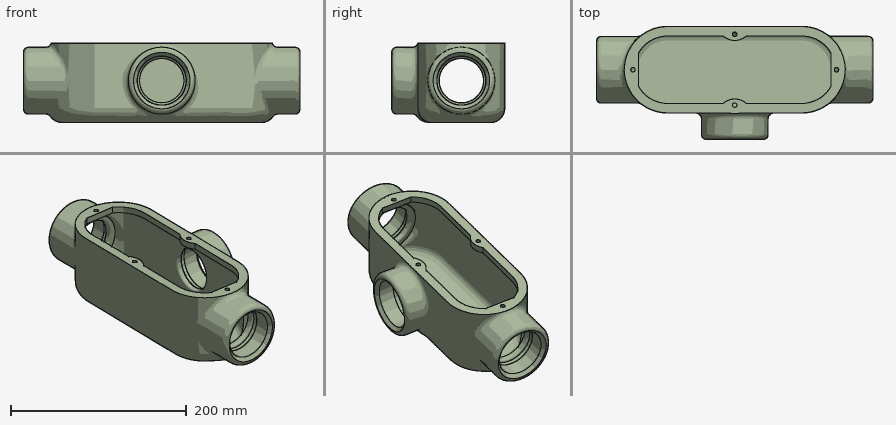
import cadquery as cq
import math

overall_length = 314.5
overall_width = 128.5
overall_height = 90.5

body_width = 98.7
body_radius = body_width / 2
end_center_x = 76.0
top_z = 42.8
bottom_z = top_z - overall_height
wall = 5.5
bottom_fillet = 16.5
body_half_length = end_center_x + body_radius
trim_height = 9.5
cavity_radius = body_radius - wall
cavity_fillet = bottom_fillet - wall

rim_depth = 7.5
rim_opening_radius = 38.5
rim_opening_half_length = 109.5
boss_half_width = 13.2
boss_projection = 5.0
screw_diameter = 5.0
screw_x = 115.7
screw_y = 40.3

hub_radius = 38.0
hub_end_fillet = 5.7
hub_root_fillet = 6.3
end_hub_reach = overall_length / 2
side_hub_reach = overall_width - body_radius

mouth_radius = 32.0
socket_radius = 28.0
socket_depth = 22.5
neck_radius = 27.7
bushing_start_depth = 27.7
bushing_radius = 25.2
end_bushing_depth = 36.8
inner_bore_radius = 32.0
bore_root_fillet = 4.7

end_bushing_reach = end_hub_reach - end_bushing_depth
end_hubs = [(0, end_hub_reach, end_bushing_reach), (180, end_hub_reach, end_bushing_reach)]
all_hubs = end_hubs + [(270, side_hub_reach, cavity_radius)]


def aim(solid, angle):
    """Turn a solid lying along +X to the given angle about Z."""
    return solid.rotate((0, 0, 0), (0, 0, 1), angle)


def rounded_prism(radius, low_z, high_z):
    """Upright prism with straight sides and half-round ends."""
    return (
        cq.Workplane("XY", origin=(0, 0, low_z))
        .slot2D(2 * (end_center_x + radius), 2 * radius)
        .extrude(high_z - low_z)
    )


def rounded_tub(radius, low_z, high_z, fillet):
    return rounded_prism(radius, low_z, high_z).faces("<Z").edges().fillet(fillet)


def hub_rod(radius, reach):
    return cq.Workplane("YZ").circle(radius).extrude(reach)


def add_rods(tub, hubs, radius, root_fillet):
    """Join a cylinder along each hub axis to a tub and round where they meet."""
    joined = tub
    for angle, reach, _ in hubs:
        joined = joined.union(aim(hub_rod(radius, reach), angle))
    margin = 3.0
    root_zone = cq.selectors.BoxSelector(
        (-body_half_length - margin, -body_radius - margin, -radius - margin),
        (body_half_length + margin, body_radius + margin, radius + margin),
        boundingbox=True,
    )
    return joined.edges(root_zone).fillet(root_fillet)


def outer_form():
    """Outside of the body and hubs, with the root fillets cut flat at the top."""
    block = rounded_prism(body_radius, bottom_z, top_z + trim_height)
    form = add_rods(block, all_hubs, hub_radius, hub_root_fillet)
    form = form.faces("<Z").edges().fillet(bottom_fillet)
    for side in ("<X", ">X", "<Y"):
        form = form.faces(side).edges().fillet(hub_end_fillet)
    trim = (
        cq.Workplane("XY", origin=(0, 0, top_z))
        .rect(2 * overall_length, 2 * overall_width)
        .extrude(2 * trim_height)
    )
    return form.cut(trim)


def hub_opening(reach, bushing_end):
    """Chamfered socket of a hub, a slightly narrower neck, then a bushing with rounded lips."""
    socket_start = reach - (mouth_radius - socket_radius)
    socket_end = reach - socket_depth
    bushing_start = reach - bushing_start_depth
    rounding = neck_radius - bushing_radius
    arc_inset = rounding * (1 - math.sqrt(0.5))
    outline = (
        cq.Workplane("XY")
        .moveTo(reach, 0)
        .lineTo(reach, mouth_radius)
        .lineTo(socket_start, socket_radius)
        .lineTo(socket_end, socket_radius)
        .lineTo(socket_end, neck_radius)
        .lineTo(bushing_start, neck_radius)
        .threePointArc(
            (bushing_start - arc_inset, bushing_radius + arc_inset),
            (bushing_start - rounding, bushing_radius),
        )
        .lineTo(bushing_end + rounding, bushing_radius)
        .threePointArc(
            (bushing_end + arc_inset, bushing_radius + arc_inset),
            (bushing_end, neck_radius),
        )
        .lineTo(bushing_end, 0)
        .close()
    )
    return outline.revolve(360, (0, 0, 0), (1, 0, 0))


def cavity():
    """Wiring chamber below the rim, running into the inner bores of the end hubs."""
    tub = rounded_tub(cavity_radius, bottom_z + wall, top_z + trim_height, cavity_fillet)
    chamber = add_rods(tub, end_hubs, inner_bore_radius, bore_root_fillet)
    between_bushings = cq.Workplane("XY").box(2 * end_bushing_reach, body_width, 2 * overall_height)
    chamber = chamber.intersect(between_bushings)
    for angle, reach, bushing_end in all_hubs:
        chamber = chamber.union(aim(hub_opening(reach, bushing_end), angle))
    return chamber.cut(rim())


def rim():
    """Inward lip at the top, with flat end lands and two side bosses."""
    low_z = top_z - rim_depth
    high_z = top_z + trim_height
    opening = rounded_prism(rim_opening_radius, low_z, high_z)
    middle = (
        cq.Workplane("XY", origin=(0, 0, low_z))
        .rect(2 * rim_opening_half_length, body_width)
        .extrude(high_z - low_z)
    )
    opening = opening.intersect(middle)
    boss_arc_radius = (boss_half_width**2 + boss_projection**2) / (2 * boss_projection)
    boss_center_y = rim_opening_radius - boss_projection + boss_arc_radius
    bosses = (
        cq.Workplane("XY", origin=(0, 0, low_z))
        .pushPoints([(0, boss_center_y), (0, -boss_center_y)])
        .circle(boss_arc_radius)
        .extrude(high_z - low_z)
    )
    return rounded_prism(body_radius, low_z, high_z).cut(opening.cut(bosses))


def screw_holes():
    """Cover screw holes through the rim only."""
    return (
        cq.Workplane("XY", origin=(0, 0, top_z - rim_depth))
        .pushPoints([(screw_x, 0), (-screw_x, 0), (0, screw_y), (0, -screw_y)])
        .circle(screw_diameter / 2)
        .extrude(rim_depth)
    )


result = outer_form().cut(cavity()).cut(screw_holes())